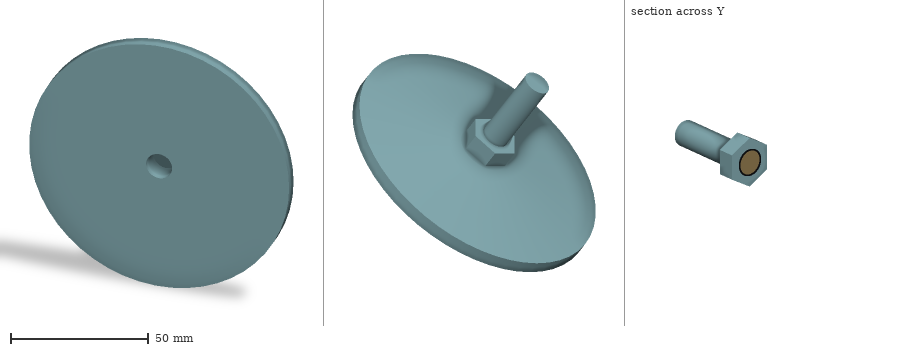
import cadquery as cq

disc_diameter = 100.0
rim_height = 5.0
cone_height = 5.0
cone_top_diameter = 20.0

stud_diameter = 10.0
neck_height = 0.5
nut_height = 7.0
nut_across_corners = 19.0
stud_length_above_nut = 30.0

hole_diameter = stud_diameter
hole_depth = 8.0

disc_height = rim_height + cone_height
nut_base = disc_height + neck_height
total_height = nut_base + nut_height + stud_length_above_nut


def plane_at(y):
    """Plane facing +Y, with its local X along -Z so nut corners point along Z."""
    return cq.Plane(origin=(0, y, 0), xDir=(0, 0, -1), normal=(0, 1, 0))


def make_foot():
    """Round foot: a cylindrical rim below a shallow cone."""
    half_profile = [
        (0, 0),
        (disc_diameter / 2, 0),
        (disc_diameter / 2, rim_height),
        (cone_top_diameter / 2, disc_height),
        (0, disc_height),
    ]
    return cq.Workplane("XY").polyline(half_profile).close().revolve(360, (0, 0, 0), (0, 1, 0))


def make_stud():
    """Plain stud standing on the foot."""
    stud_length = total_height - hole_depth
    return cq.Workplane(plane_at(hole_depth)).circle(stud_diameter / 2).extrude(stud_length)


def make_nut():
    """Hexagonal nut held just clear of the cone."""
    return cq.Workplane(plane_at(nut_base)).polygon(6, nut_across_corners).extrude(nut_height)


def make_hole():
    """Blind hole in the middle of the sole."""
    return cq.Workplane(plane_at(0)).circle(hole_diameter / 2).extrude(hole_depth)


result = make_foot().union(make_stud()).union(make_nut()).cut(make_hole())